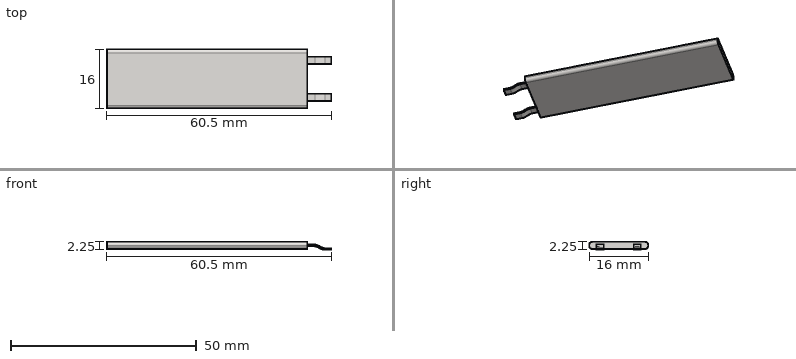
import cadquery as cq

total_length = 60.5
cell_length = 54.0
cell_width = 16.0
cell_height = 2.0
cell_edge_radius = 0.9

tab_width = 2.0
tab_thickness = 0.5
tab_spacing = 10.0
tab_root_length = 1.95
tab_tip_length = 1.8
tab_overhang = 0.25

tab_drop = (cell_height - tab_thickness) / 2 + tab_overhang


def make_cell():
    block = cq.Workplane("XY").box(
        cell_length, cell_width, cell_height, centered=(False, True, True)
    )
    return block.edges("|X").fillet(cell_edge_radius)


def make_tab(center_y):
    """Flat strip that drops from root to tip in a smooth S-curve, extruded along Y."""
    root_top = tab_thickness / 2
    root_bottom = -root_top
    tip_top = root_top - tab_drop
    tip_bottom = root_bottom - tab_drop
    curve_start_x = cell_length + tab_root_length
    curve_end_x = total_length - tab_tip_length

    handle = (curve_end_x - curve_start_x) / 3
    handle_start_x = curve_start_x + handle
    handle_end_x = curve_end_x - handle
    top_curve = [(handle_start_x, root_top), (handle_end_x, tip_top), (curve_end_x, tip_top)]
    bottom_curve = [(handle_end_x, tip_bottom), (handle_start_x, root_bottom), (curve_start_x, root_bottom)]

    return (
        cq.Workplane("XZ", origin=(0, center_y + tab_width / 2, 0))
        .moveTo(cell_length, root_top)
        .lineTo(curve_start_x, root_top)
        .bezier(top_curve, includeCurrent=True)
        .lineTo(total_length, tip_top)
        .lineTo(total_length, tip_bottom)
        .lineTo(curve_end_x, tip_bottom)
        .bezier(bottom_curve, includeCurrent=True)
        .lineTo(cell_length, root_bottom)
        .close()
        .extrude(tab_width)
    )


cell = make_cell()
tabs = [make_tab(side * tab_spacing / 2) for side in (-1, 1)]

result = cq.Compound.makeCompound([cell.val(), *[tab.val() for tab in tabs]])